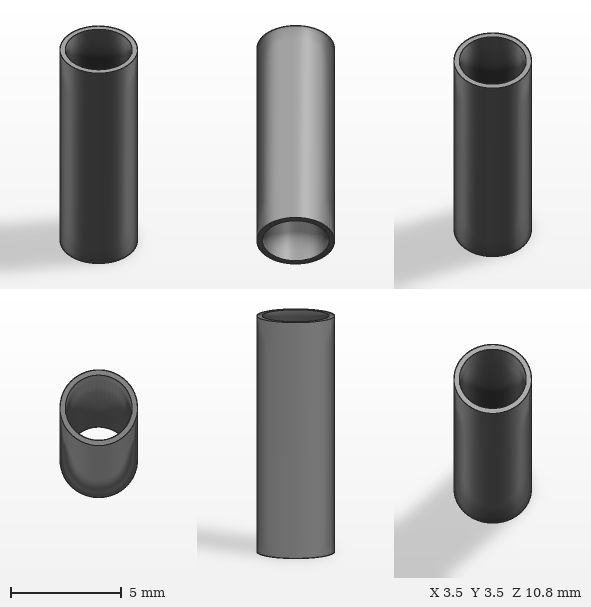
import cadquery as cq

length = 10.8
outer_diameter = 3.5
bore_diameter = 3.0

result = (
    cq.Workplane("XY")
    .circle(outer_diameter / 2)
    .circle(bore_diameter / 2)
    .extrude(length)
)